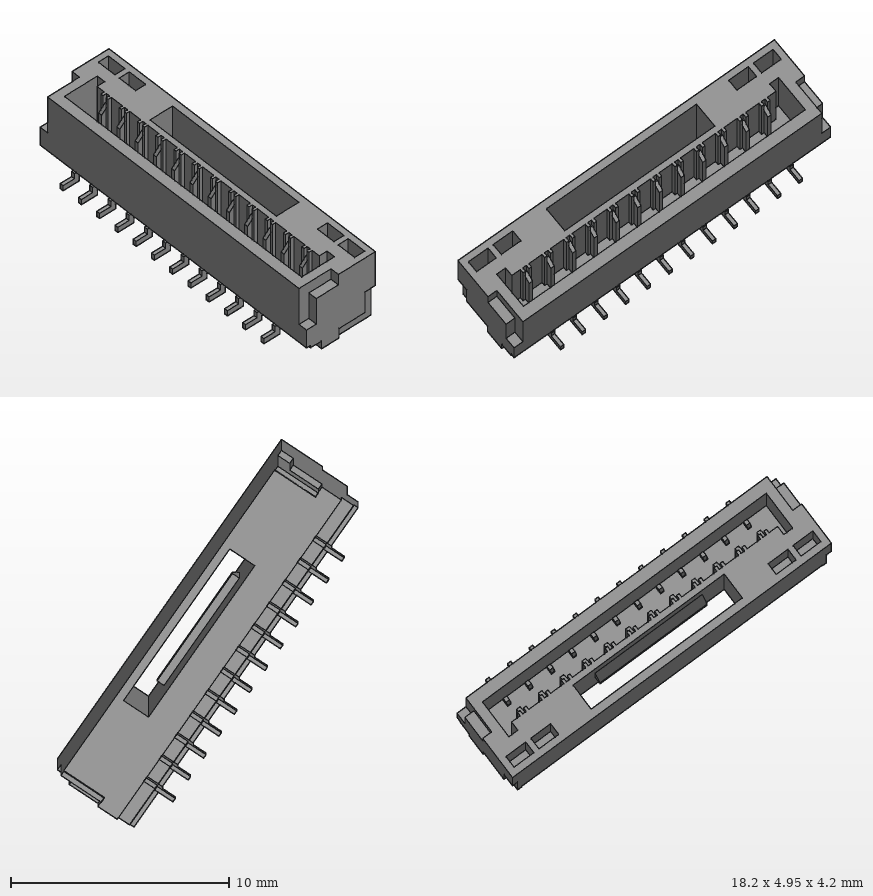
import cadquery as cq


length = 18.25
half_length = length / 2
height = 4.2
depth = 4.25
base_z = 0.16
lead_ledge_z = 0.65
front_lip_z = 0.8
front_lip_depth = 0.24
lead_bay_depth = 0.93

cavity_length = 16.25
cavity_front_y = 0.6
cavity_back_y = 2.15
cavity_floor_z = 1.0
key_width = 0.51
key_back_y = 2.63

window_length = 8.65
window_front_y = 2.46
window_back_y = 3.85
latch_length = 6.13
latch_reach = 0.38
latch_bottom_z = 2
latch_tip_z = 2.32
latch_root_z = 3.1

pocket_length = 1.13
pocket_front_y = 3.28
pocket_back_y = 3.9
pocket_floor_z = 2.19
pocket_end_margin = 0.35
pocket_pitch = 1.42

relief_depth = 0.51
relief_back_y = 1.97
relief_shelf_z = 3.54
relief_column_y = 0.6
relief_bottom_z = 1.93

tab_inset = 0.3
tab_thickness = 0.24
tab_top_z = 2.06
tab_arm_z = 0.77
tab_column_depth = 0.65
tab_front_y = 2

pin_count = 12
pin_pitch = 1.25
pin_width = 0.2
guide_width = 0.5
guide_front_y = 1.95
blade_front_y = 1.68
blade_tip_y = 2.08
blade_tip_z = 3.67
blade_shoulder_z = blade_tip_z - (blade_tip_y - blade_front_y)
stub_shoulder_height = 0.22
stub_front_y = 0.65
stub_tip_y = 0.88
stub_back_y = 1.0
stub_height = 0.5
foot_front_y = -0.7
foot_thickness = 0.33
leg_back_y = 0.31
lead_bottom_z = 0.27


def block(x_range, y_range, z_range):
    """Box between two limits on each axis."""
    (x0, x1), (y0, y1), (z0, z1) = x_range, y_range, z_range
    return cq.Workplane("XY").box(x1 - x0, y1 - y0, z1 - z0, centered=False).translate((x0, y0, z0))


def slab(points, x_start, thickness):
    """Extrude a (Y, Z) outline along +X from x_start."""
    return cq.Workplane("YZ").workplane(offset=x_start).polyline(points).close().extrude(thickness)


def both_ends(shape):
    """The shape together with its mirror image at the other end."""
    return shape.union(shape.mirror("YZ"))


def housing():
    profile = [
        (0, height),
        (depth, height),
        (depth, base_z),
        (lead_bay_depth, base_z),
        (lead_bay_depth, lead_ledge_z),
        (front_lip_depth, lead_ledge_z),
        (front_lip_depth, front_lip_z),
        (0, front_lip_z),
    ]
    return slab(profile, -half_length, length)


def mating_cavity():
    half_cavity = cavity_length / 2
    z_range = (cavity_floor_z, height)
    cavity = block((-half_cavity, half_cavity), (cavity_front_y, cavity_back_y), z_range)
    key = block((-half_cavity, key_width - half_cavity), (cavity_front_y, key_back_y), z_range)
    return cavity.union(both_ends(key))


def latch_window():
    half_window = window_length / 2
    return block((-half_window, half_window), (window_front_y, window_back_y), (0, height))


def latch():
    """Ledge on the front wall of the window, its top sloping down towards the tip."""
    tip_y = window_front_y + latch_reach
    profile = [
        (window_front_y, latch_bottom_z),
        (tip_y, latch_bottom_z),
        (tip_y, latch_tip_z),
        (window_front_y, latch_root_z),
    ]
    return slab(profile, -latch_length / 2, latch_length)


def top_pockets():
    pockets = cq.Workplane("XY")
    for index in range(2):
        x_start = -half_length + pocket_end_margin + index * pocket_pitch
        x_range = (x_start, x_start + pocket_length)
        pocket = block(x_range, (pocket_front_y, pocket_back_y), (pocket_floor_z, height))
        pockets = pockets.add(both_ends(pocket))
    return pockets.combine()


def end_reliefs():
    profile = [
        (0, height),
        (relief_back_y, height),
        (relief_back_y, relief_shelf_z),
        (relief_column_y, relief_shelf_z),
        (relief_column_y, relief_bottom_z),
        (0, relief_bottom_z),
    ]
    return both_ends(slab(profile, -half_length, relief_depth))


def tab_shape(x_start, thickness):
    """L-shaped plate reaching the mounting plane at both ends."""
    column_y = depth - tab_column_depth
    profile = [
        (depth, 0),
        (depth, tab_top_z),
        (column_y, tab_top_z),
        (column_y, tab_arm_z),
        (tab_front_y, tab_arm_z),
        (tab_front_y, 0),
    ]
    return both_ends(slab(profile, x_start, thickness))


def contact_guide(x):
    """Rib on the back wall of the cavity with a slot for the blade."""
    y_range = (guide_front_y, cavity_back_y)
    z_range = (cavity_floor_z, height)
    rib = block((x - guide_width / 2, x + guide_width / 2), y_range, z_range)
    slot = block((x - pin_width / 2, x + pin_width / 2), y_range, z_range)
    return rib.cut(slot)


def contact(x):
    """Blade and stub inside the cavity and the solder lead below the housing."""
    blade = [
        (cavity_back_y, cavity_floor_z),
        (cavity_back_y, blade_tip_z),
        (blade_tip_y, blade_tip_z),
        (blade_front_y, blade_shoulder_z),
        (blade_front_y, cavity_floor_z),
    ]
    stub_top_z = cavity_floor_z + stub_height
    stub = [
        (stub_front_y, cavity_floor_z),
        (stub_front_y, stub_top_z),
        (stub_tip_y, stub_top_z),
        (stub_back_y, cavity_floor_z + stub_shoulder_height),
        (stub_back_y, cavity_floor_z),
    ]
    lead = [
        (lead_bay_depth, lead_ledge_z),
        (0, lead_ledge_z),
        (0, foot_thickness),
        (foot_front_y, foot_thickness),
        (foot_front_y, 0),
        (leg_back_y, 0),
        (leg_back_y, lead_bottom_z),
        (lead_bay_depth, lead_bottom_z),
    ]
    x_start = x - pin_width / 2
    return [slab(profile, x_start, pin_width) for profile in (blade, stub, lead)]


result = housing().cut(mating_cavity()).cut(latch_window()).cut(top_pockets()).cut(end_reliefs())
result = result.cut(tab_shape(-half_length, tab_inset))
result = result.union(tab_shape(tab_inset - half_length, tab_thickness))
result = result.union(latch())

for index in range(pin_count):
    pin_x = (index - (pin_count - 1) / 2) * pin_pitch
    result = result.union(contact_guide(pin_x))
    for piece in contact(pin_x):
        result = result.union(piece)